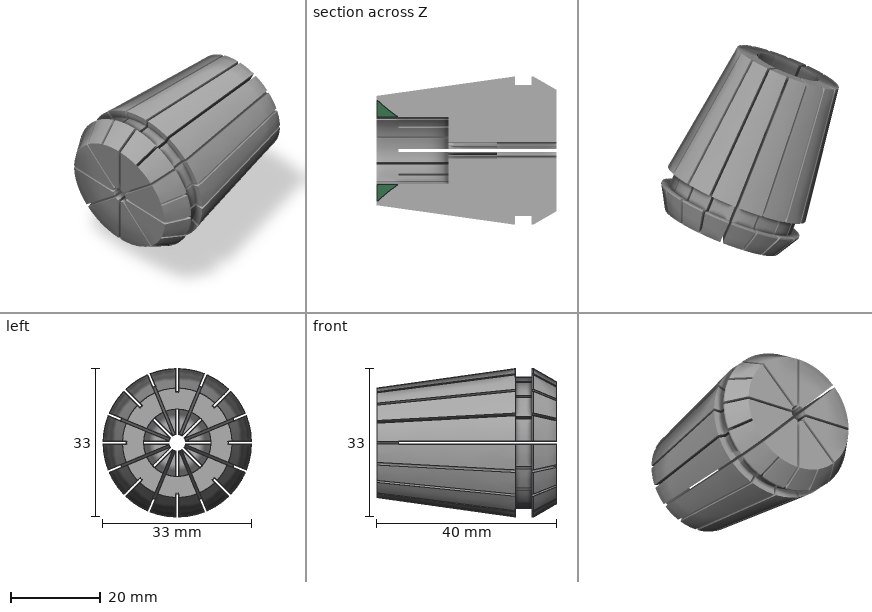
import cadquery as cq
import math

length = 40.0
max_radius = 33.0 / 2
nose_taper = 8.0
tail_taper = 30.0

groove_start = 30.8
groove_end = 34.5
groove_radius = 14.6
rim_width = 0.35

clamp_radius = 1.9
counterbore_radius = 7.5
counterbore_depth = 16.0

slot_count = 8
slot_width = 0.65
saw_radius = 40.0
rear_floor_radius = 11.4
rear_floor_length = 4.85
front_floor_start = 26.75

margin = 2.0
outer_reach = max_radius + margin
slot_pitch = 360.0 / slot_count

nose_radius = max_radius - groove_start * math.tan(math.radians(nose_taper))
rim_end = groove_end + rim_width
tail_slope = math.tan(math.radians(tail_taper))
tail_radius = max_radius - (length - rim_end) * tail_slope


def make_body():
    """Revolve the half section about the X axis, bore included."""
    return (
        cq.Workplane("XY")
        .moveTo(0, counterbore_radius)
        .lineTo(0, nose_radius)
        .lineTo(groove_start, max_radius)
        .lineTo(groove_start, groove_radius)
        .lineTo(groove_end, groove_radius)
        .lineTo(groove_end, max_radius)
        .lineTo(rim_end, max_radius)
        .lineTo(length, tail_radius)
        .lineTo(length, clamp_radius)
        .lineTo(counterbore_depth, clamp_radius)
        .lineTo(counterbore_depth, counterbore_radius)
        .close()
        .revolve(360, (0, 0, 0), (1, 0, 0))
    )


def cut_slots(body, outline, start_angle):
    """Cut a slot of the given (axial, radial) outline at every pitch angle."""
    cutter = outline.extrude(slot_width / 2, both=True)
    for index in range(slot_count):
        angle = start_angle + index * slot_pitch
        body = body.cut(cutter.rotate((0, 0, 0), (1, 0, 0), angle))
    return body


rear_slot = (
    cq.Workplane("XY")
    .moveTo(0, rear_floor_radius)
    .radiusArc((rear_floor_length, counterbore_radius), -saw_radius)
    .lineTo(rear_floor_length, 0)
    .lineTo(length + margin, 0)
    .lineTo(length + margin, outer_reach)
    .lineTo(0, outer_reach)
    .close()
)

front_slot = (
    cq.Workplane("XY")
    .moveTo(length, tail_radius)
    .radiusArc((front_floor_start, clamp_radius), saw_radius)
    .lineTo(front_floor_start, 0)
    .lineTo(-margin, 0)
    .lineTo(-margin, outer_reach)
    .lineTo(length, outer_reach)
    .close()
)

result = make_body()
result = cut_slots(result, rear_slot, 0)
result = cut_slots(result, front_slot, slot_pitch / 2)